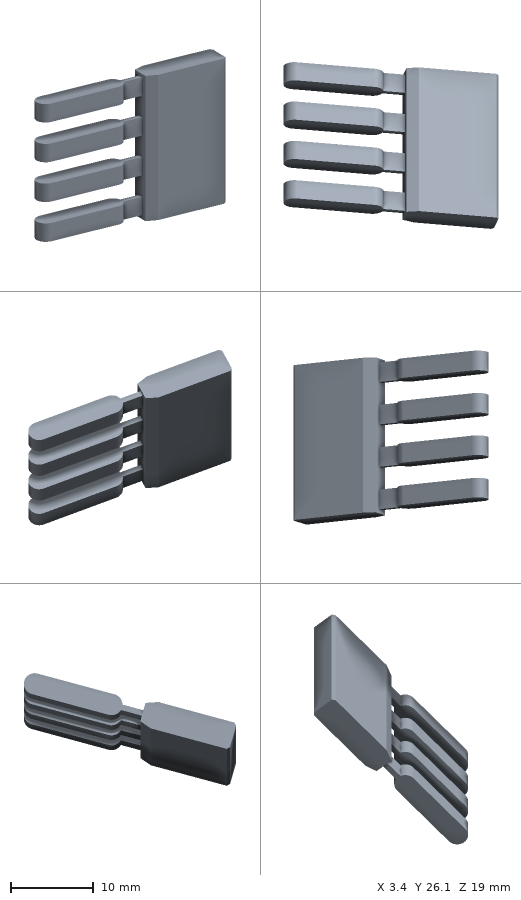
import cadquery as cq
import math

total_length = 26.15
body_width = 3.4
body_height = 19.0

body_depth = 11.3
front_face_width = 2.35
front_taper_length = 1.46
back_chamfer = 0.31

pin_count = 4
pin_pitch = 5.2
pin_height = 2.4
pin_width = 2.65
neck_width = 0.7
shoulder_center_y = 10.93


def make_body():
    """Flat block with a tapered front and chamfered rear edges."""
    front_y = total_length - body_depth
    half_width = body_width / 2
    half_front = front_face_width / 2
    half_back = half_width - back_chamfer
    return (
        cq.Workplane("XY")
        .moveTo(-half_front, front_y)
        .lineTo(half_front, front_y)
        .lineTo(half_width, front_y + front_taper_length)
        .lineTo(half_width, total_length - back_chamfer)
        .lineTo(half_back, total_length)
        .lineTo(-half_back, total_length)
        .lineTo(-half_width, total_length - back_chamfer)
        .lineTo(-half_width, front_y + front_taper_length)
        .close()
        .extrude(body_height / 2, both=True)
    )


def make_pin(center_z):
    """Round-ended blade joined to the body front by a narrow neck."""
    radius = pin_width / 2
    half_neck = neck_width / 2
    neck_end_y = total_length - body_depth
    neck_start_y = shoulder_center_y + math.sqrt(radius**2 - half_neck**2)
    shoulder_offset = radius / math.sqrt(2)
    shoulder_mid_y = shoulder_center_y + shoulder_offset
    return (
        cq.Workplane("XY", origin=(0, 0, center_z))
        .moveTo(-radius, radius)
        .threePointArc((0, 0), (radius, radius))
        .lineTo(radius, shoulder_center_y)
        .threePointArc((shoulder_offset, shoulder_mid_y), (half_neck, neck_start_y))
        .lineTo(half_neck, neck_end_y)
        .lineTo(-half_neck, neck_end_y)
        .lineTo(-half_neck, neck_start_y)
        .threePointArc((-shoulder_offset, shoulder_mid_y), (-radius, shoulder_center_y))
        .close()
        .extrude(pin_height / 2, both=True)
    )


result = make_body()
for index in range(pin_count):
    pin_z = (index - (pin_count - 1) / 2) * pin_pitch
    result = result.union(make_pin(pin_z))